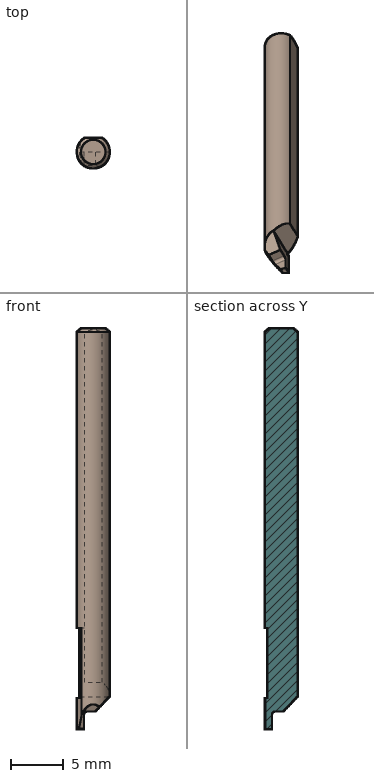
import cadquery as cq
import math

length = 38.1
diameter = 3.15
radius = diameter / 2
width_over_flat = 2.95
flat_y = width_over_flat - radius
flat_half_width = math.sqrt(radius**2 - flat_y**2)
end_chamfer_radial = 0.42
end_chamfer_height = 0.4

neck_top = 9.6
neck_left_x = -1.35
head_top = 2.97
relief_depth_y = 1.15
relief_corner = (-math.sqrt(radius**2 - relief_depth_y**2), -relief_depth_y)

rake_top = 3.1
rake_runout_top = 4.45

edge_land_depth = 0.55
edge_land_rise = 0.08
heel_height = 2.35

tip_right_x = -0.88
shoulder_height = 1.68
shoulder_right_x = 0.2
shoulder_fillet = 0.3
side_slope_top = 3.12

margin = 1.9


def make_shank():
    bar = cq.Workplane("XY").workplane(offset=neck_top).circle(radius).extrude(length - neck_top)
    bar = bar.faces(">Z").chamfer(end_chamfer_height, end_chamfer_radial)
    flat_cutter = (
        cq.Workplane("XY")
        .box(2 * radius, margin, length, centered=(True, False, False))
        .translate((0, flat_y, 0))
    )
    return bar.cut(flat_cutter)


def make_neck():
    arc_inset = -neck_left_x - flat_half_width
    arc_radius = (arc_inset**2 + flat_y**2) / (2 * arc_inset)
    half_angle = math.asin(flat_y / arc_radius) / 2
    arc_middle = (
        neck_left_x + arc_radius * (1 - math.cos(half_angle)),
        arc_radius * math.sin(half_angle),
    )
    right_arc_angle = math.asin(flat_y / radius) / 2
    return (
        cq.Workplane("XY")
        .moveTo(-flat_half_width, flat_y)
        .threePointArc(arc_middle, (neck_left_x, 0))
        .lineTo(*relief_corner)
        .threePointArc((0, -radius), (radius, 0))
        .threePointArc(
            (radius * math.cos(right_arc_angle), radius * math.sin(right_arc_angle)),
            (flat_half_width, flat_y),
        )
        .close()
        .extrude(neck_top)
    )


def make_head():
    return (
        cq.Workplane("XY")
        .moveTo(radius, 0)
        .lineTo(-radius, 0)
        .lineTo(*relief_corner)
        .threePointArc((0, -radius), (radius, 0))
        .close()
        .extrude(head_top)
    )


def extrude_across(points):
    """Extrude a (Y, Z) outline along X through the whole part."""
    return cq.Workplane("YZ").polyline(points).close().extrude(radius + margin, both=True)


def rake_cutter():
    slope = (rake_runout_top - rake_top) / flat_y
    outer_y = flat_y + margin
    return extrude_across([
        (0, -margin),
        (0, rake_top),
        (outer_y, rake_top + slope * outer_y),
        (outer_y, -margin),
    ])


def edge_clearance_cutter():
    slope = (heel_height - edge_land_rise) / (radius - edge_land_depth)
    outer_y = radius + margin
    return extrude_across([
        (0, 0),
        (-edge_land_depth, edge_land_rise),
        (-outer_y, heel_height + slope * margin),
        (-outer_y, -margin),
        (0, -margin),
    ])


def side_clearance_cutter():
    slope = (side_slope_top - shoulder_height) / (radius - shoulder_right_x)
    outer_x = radius + margin
    arc_inset = shoulder_fillet * (1 - math.sqrt(0.5))
    return (
        cq.Workplane("XZ")
        .moveTo(tip_right_x, -margin)
        .lineTo(tip_right_x, shoulder_height - shoulder_fillet)
        .threePointArc(
            (tip_right_x + arc_inset, shoulder_height - arc_inset),
            (tip_right_x + shoulder_fillet, shoulder_height),
        )
        .lineTo(shoulder_right_x, shoulder_height)
        .lineTo(outer_x, side_slope_top + slope * margin)
        .lineTo(outer_x, -margin)
        .close()
        .extrude(radius + margin, both=True)
    )


result = make_shank().union(make_neck()).union(make_head())
for cutter in (rake_cutter(), edge_clearance_cutter(), side_clearance_cutter()):
    result = result.cut(cutter)